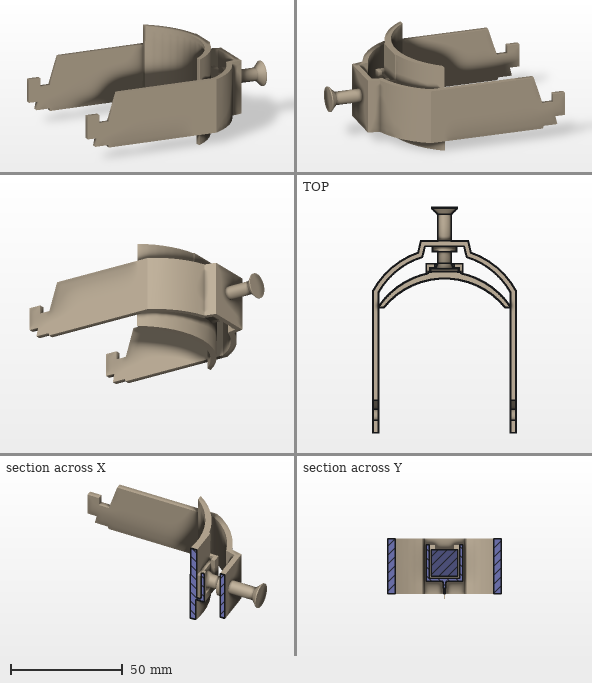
import cadquery as cq
import math


STRAP_HALF_WIDTH = 32.0
STRAP_THICKNESS = 2.5
STRAP_RADIUS = 36.4
STRAP_TOP = 11.0
STRAP_BOTTOM = -13.9
ARM_END = -46.3
CROWN_Y = 39.7
CROWN_HALF_WIDTH = 10.6
CROWN_BASE_HALF_WIDTH = 11.8
CROWN_WALL_RUN = 1.9

STRAP_INNER_HALF_WIDTH = STRAP_HALF_WIDTH - STRAP_THICKNESS
STRAP_INNER_RADIUS = STRAP_RADIUS - STRAP_THICKNESS
CROWN_INNER_Y = CROWN_Y - STRAP_THICKNESS

SHOULDER_Y = -31.5
NECK_START_Y = -35.7
NECK_TOP = -2.0
TOOTH_START_Y = -40.6
TOOTH_TOP = 1.9
TOOTH_BOTTOM = -8.8
NOTCH_ROOT_Y = -41.7
BARB_TIP_Y = -42.6
BARB_BOTTOM = -12.7
BARB_START_Y = -36.1
HEEL_Y = -35.9

SHAFT_RADIUS = 3.0
HEAD_RADIUS = 5.8
HEAD_END_Y = 54.7
HEAD_RIM = 0.5
FOOT_CONE_START_Y = 29.7
FOOT_CONE_RADIUS = 4.1
FOOT_HALF_SIZE = 6.1
FOOT_THICKNESS = 1.5

HEAD_CONE_LENGTH = HEAD_RADIUS - SHAFT_RADIUS

NUT_RADIUS = 5.5
NUT_HEIGHT = 2.3

SADDLE_HEIGHT = 40.0
SADDLE_TOP = 20.4
SADDLE_CREST_Y = 25.9
SADDLE_OUTER_RADIUS = 35.6
SADDLE_INNER_RADIUS = 34.8
SADDLE_CREST_THICKNESS = 3.0
SADDLE_END_Y = 9.9
SADDLE_TILT = 0.3

TRACK_HALF_WIDTH = 7.3
TRACK_Y = 25.7
HOLDER_HALF_SIZE = 8.2
HOLDER_Y = 29.4
CAVITY_HALF_WIDTH = 6.7
CAVITY_ROOF_Y = 27.6
THROAT_HALF_WIDTH = 4.3
FOOT_CLEARANCE = 0.1

FOOT_END_Y = TRACK_Y + FOOT_CLEARANCE
FOOT_TOP_Y = FOOT_END_Y + FOOT_THICKNESS


def arc_height(radius, x):
    """Height of a circle of the given radius above its centre at offset x."""
    return math.sqrt(radius**2 - x**2)


def arc_middle(radius, x_start, x_end):
    """Point on a circle about the origin, halfway in angle between two offsets."""
    angle = (math.acos(x_start / radius) + math.acos(x_end / radius)) / 2
    return (radius * math.cos(angle), radius * math.sin(angle))


def mirror_x(point):
    return (-point[0], point[1])


def block(x_half, y_start, y_end, z_start, z_end):
    """Box centred on X = 0 between the given Y and Z limits."""
    box = cq.Workplane("XY").box(2 * x_half, y_end - y_start, z_end - z_start, centered=(True, False, False))
    return box.translate((0, y_start, z_start))


def y_cylinder(radius, y_start, y_end):
    """Cylinder about the screw axis."""
    return cq.Workplane("XZ", origin=(0, y_end, 0)).circle(radius).extrude(y_end - y_start)


def strap_region(half_width, radius, crown_y, crown_half_width, crown_base_half_width):
    """Prism enclosed by one skin of the strap, open arms closed off at the arm ends."""
    arm_corner = (half_width, arc_height(radius, half_width))
    crown_base = (crown_base_half_width, arc_height(radius, crown_base_half_width))
    bend = arc_middle(radius, half_width, crown_base_half_width)
    return (
        cq.Workplane("XY", origin=(0, 0, STRAP_BOTTOM))
        .moveTo(half_width, ARM_END)
        .lineTo(*arm_corner)
        .threePointArc(bend, crown_base)
        .lineTo(crown_half_width, crown_y)
        .lineTo(-crown_half_width, crown_y)
        .lineTo(*mirror_x(crown_base))
        .threePointArc(mirror_x(bend), mirror_x(arm_corner))
        .lineTo(-half_width, ARM_END)
        .close()
        .extrude(STRAP_TOP - STRAP_BOTTOM)
    )


def arm_side_profile():
    """Side outline of the strap, with the hooked arm ends, as a prism across the full width."""
    outline = [
        (CROWN_Y, STRAP_BOTTOM),
        (CROWN_Y, STRAP_TOP),
        (SHOULDER_Y, STRAP_TOP),
        (NECK_START_Y, NECK_TOP),
        (TOOTH_START_Y, NECK_TOP),
        (TOOTH_START_Y, TOOTH_TOP),
        (ARM_END, TOOTH_TOP),
        (ARM_END, TOOTH_BOTTOM),
        (NOTCH_ROOT_Y, TOOTH_BOTTOM),
        (BARB_TIP_Y, BARB_BOTTOM),
        (BARB_START_Y, BARB_BOTTOM),
        (HEEL_Y, STRAP_BOTTOM),
    ]
    return cq.Workplane("YZ").polyline(outline).close().extrude(STRAP_HALF_WIDTH, both=True)


def make_strap():
    outside = strap_region(
        STRAP_HALF_WIDTH, STRAP_RADIUS, CROWN_Y, CROWN_HALF_WIDTH, CROWN_BASE_HALF_WIDTH
    )
    inside = strap_region(
        STRAP_INNER_HALF_WIDTH,
        STRAP_INNER_RADIUS,
        CROWN_INNER_Y,
        CROWN_HALF_WIDTH - CROWN_WALL_RUN,
        CROWN_BASE_HALF_WIDTH - CROWN_WALL_RUN,
    )
    screw_hole = y_cylinder(SHAFT_RADIUS, CROWN_INNER_Y, CROWN_Y)
    return outside.cut(inside).intersect(arm_side_profile()).cut(screw_hole)


def make_nut():
    nut_end_y = CROWN_INNER_Y - NUT_HEIGHT
    return y_cylinder(NUT_RADIUS, nut_end_y, CROWN_INNER_Y).cut(
        y_cylinder(SHAFT_RADIUS, nut_end_y, CROWN_INNER_Y)
    )


def make_screw():
    """Countersunk screw with a flared neck and a square foot plate."""
    head_rim_y = HEAD_END_Y - HEAD_RIM
    half_section = [
        (0, FOOT_TOP_Y),
        (FOOT_CONE_RADIUS, FOOT_TOP_Y),
        (SHAFT_RADIUS, FOOT_CONE_START_Y),
        (SHAFT_RADIUS, head_rim_y - HEAD_CONE_LENGTH),
        (HEAD_RADIUS, head_rim_y),
        (HEAD_RADIUS, HEAD_END_Y),
        (0, HEAD_END_Y),
    ]
    turned = cq.Workplane("XY").polyline(half_section).close().revolve(360, (0, 0, 0), (0, 1, 0))
    foot = block(FOOT_HALF_SIZE, FOOT_END_Y, FOOT_TOP_Y, -FOOT_HALF_SIZE, FOOT_HALF_SIZE)
    return turned.union(foot)


def saddle_shell():
    """Curved plate that fits between the arms and ends on a flat."""
    outer_centre_y = SADDLE_CREST_Y - SADDLE_OUTER_RADIUS
    inner_crest_y = SADDLE_CREST_Y - SADDLE_CREST_THICKNESS
    inner_centre_y = inner_crest_y - SADDLE_INNER_RADIUS
    saddle_bottom = SADDLE_TOP - SADDLE_HEIGHT
    base = cq.Workplane("XY", origin=(0, 0, saddle_bottom))
    outer = base.center(0, outer_centre_y).circle(SADDLE_OUTER_RADIUS).extrude(SADDLE_HEIGHT)
    inner = base.center(0, inner_centre_y).circle(SADDLE_INNER_RADIUS).extrude(SADDLE_HEIGHT)
    span = block(STRAP_INNER_HALF_WIDTH, SADDLE_END_Y, SADDLE_CREST_Y, saddle_bottom, SADDLE_TOP)
    return outer.intersect(span).cut(inner)


def foot_slot():
    """T-slot for the screw foot, open upwards."""
    cavity = block(CAVITY_HALF_WIDTH, TRACK_Y, CAVITY_ROOF_Y, -CAVITY_HALF_WIDTH, HOLDER_HALF_SIZE)
    throat = block(THROAT_HALF_WIDTH, CAVITY_ROOF_Y, HOLDER_Y, -THROAT_HALF_WIDTH, HOLDER_HALF_SIZE)
    return cavity.union(throat)


def make_saddle():
    """Saddle with a flat track and a holder for the screw foot, leaning slightly about X."""
    root_y = SADDLE_CREST_Y - SADDLE_CREST_THICKNESS / 2
    track = block(TRACK_HALF_WIDTH, root_y, TRACK_Y, -HOLDER_HALF_SIZE, SADDLE_TOP)
    above_track = block(TRACK_HALF_WIDTH, TRACK_Y, SADDLE_CREST_Y, -HOLDER_HALF_SIZE, SADDLE_TOP)
    holder = block(HOLDER_HALF_SIZE, root_y, HOLDER_Y, -HOLDER_HALF_SIZE, HOLDER_HALF_SIZE).cut(foot_slot())
    saddle = saddle_shell().cut(above_track).union(track).union(holder)
    pivot = (0, TRACK_Y, 0)
    return saddle.rotate(pivot, (1, TRACK_Y, 0), -SADDLE_TILT)


strap = make_strap()
nut = make_nut()
screw = make_screw()
saddle = make_saddle()

result = cq.Compound.makeCompound([strap.val(), nut.val(), screw.val(), saddle.val()])